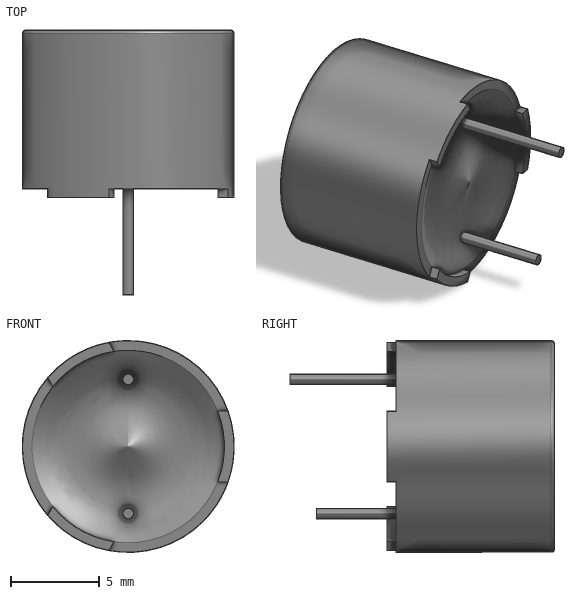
import cadquery as cq

BODY_RADIUS = 6.0
BODY_LENGTH = 9.0
BACK_EDGE_RADIUS = 0.2

RIM_WIDTH = 0.55
DISH_RADIUS = BODY_RADIUS - RIM_WIDTH
DISH_DEPTH = 0.5

FOOT_COUNT = 3
FOOT_WIDTH = 4.0
FOOT_HEIGHT = 0.5

PIN_RADIUS = 0.3
PIN_OFFSET = 3.8
LONG_PIN_LENGTH = 6.0
SHORT_PIN_LENGTH = 4.5
PIN_EMBEDMENT = 2 * DISH_DEPTH


def cylinder_along_y(radius, y_start, y_end, z=0.0):
    """Solid cylinder parallel to Y, centred on X = 0 and the given Z."""
    return (
        cq.Workplane("XZ", origin=(0, y_end, z))
        .circle(radius)
        .extrude(y_end - y_start)
    )


def make_body():
    """Can with a dished front and a full-height foot ring, turned about Y."""
    half_section = (
        cq.Workplane("ZY")
        .threePointArc((DISH_RADIUS / 2, DISH_DEPTH), (DISH_RADIUS, 0))
        .lineTo(DISH_RADIUS, -FOOT_HEIGHT)
        .lineTo(BODY_RADIUS, -FOOT_HEIGHT)
        .lineTo(BODY_RADIUS, BODY_LENGTH)
        .lineTo(0, BODY_LENGTH)
        .close()
    )
    can = half_section.revolve(360, (0, 0, 0), (0, 1, 0))
    return can.faces(">Y").edges().fillet(BACK_EDGE_RADIUS)


def make_foot_gaps():
    """Slab over the foot ring with a parallel-sided bar left out for each foot."""
    gaps = cylinder_along_y(2 * BODY_RADIUS, -FOOT_HEIGHT, 0)
    bar = cq.Workplane("XY").box(
        2 * BODY_RADIUS, 2 * FOOT_HEIGHT, FOOT_WIDTH, centered=(False, True, True)
    )
    for index in range(FOOT_COUNT):
        angle = index * 360 / FOOT_COUNT
        gaps = gaps.cut(bar.rotate((0, 0, 0), (0, 1, 0), angle))
    return gaps


def make_pin(length, z):
    """Straight lead reaching the given length beyond the rim plane."""
    return cylinder_along_y(PIN_RADIUS, -length, PIN_EMBEDMENT, z)


result = (
    make_body()
    .cut(make_foot_gaps())
    .union(make_pin(LONG_PIN_LENGTH, PIN_OFFSET))
    .union(make_pin(SHORT_PIN_LENGTH, -PIN_OFFSET))
)